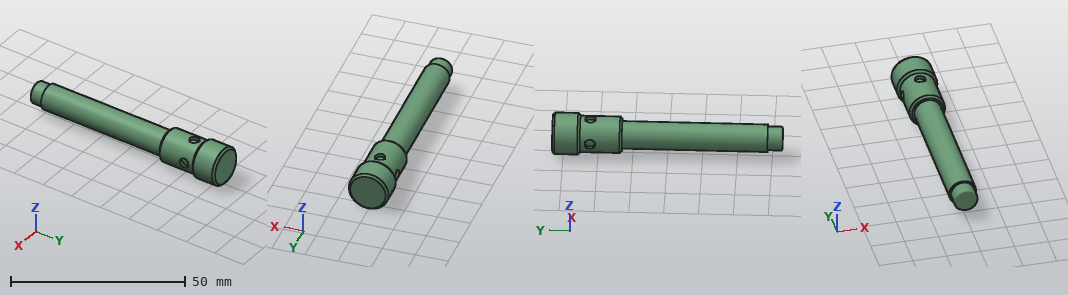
import cadquery as cq

total_length = 66.0

head_diameter = 12.0
collar_diameter = 10.55
shank_diameter = 8.0
tip_diameter = 6.9

head_end = 8.0
collar_end = 20.0
shank_end = 61.8

head_chamfer = 0.65
collar_chamfer = 0.65
tip_fillet = 0.5

hole_diameter = 3.05
hole_floor_diameter = 8.5
hole_from_head = 10.9
hole_count = 4


def section(diameter, start, end):
    """Cylinder on the Y axis, spanning two distances from the head face."""
    front = cq.Workplane("XZ", origin=(0, total_length / 2 - start, 0))
    return front.circle(diameter / 2).extrude(end - start)


def collar_hole(angle):
    """Radial hole cutter from the part axis outward, turned about that axis."""
    center = (0, total_length / 2 - hole_from_head, 0)
    cutter = cq.Workplane("XY", origin=center).circle(hole_diameter / 2).extrude(collar_diameter)
    return cutter.rotate((0, 0, 0), (0, 1, 0), angle)


head = section(head_diameter, 0, head_end)
head = head.faces(">Y").chamfer(head_chamfer)
head = head.faces("<Y").chamfer((head_diameter - collar_diameter) / 2)

collar = section(collar_diameter, head_end, collar_end).faces("<Y").chamfer(collar_chamfer)
for index in range(hole_count):
    collar = collar.cut(collar_hole(index * 360 / hole_count))

core = section(hole_floor_diameter, head_end, collar_end)
collar = collar.union(core)

shank = section(shank_diameter, collar_end, shank_end)
tip = section(tip_diameter, shank_end, total_length).faces("<Y").edges().fillet(tip_fillet)

result = head.union(collar).union(shank).union(tip)